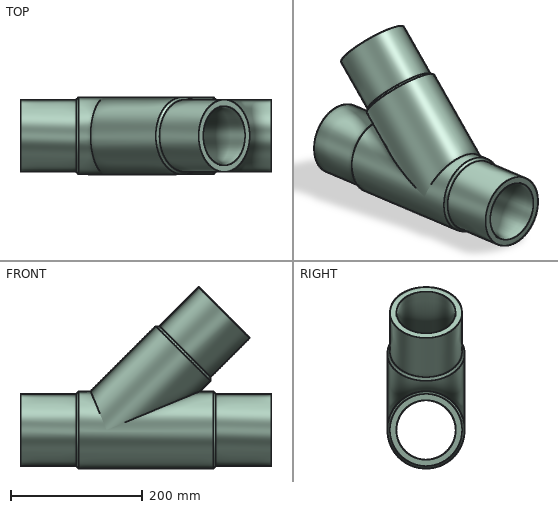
import cadquery as cq

run_length = 382.0
pipe_diameter = 110.0
body_diameter = 118.0
bore_diameter = 90.0
spigot_length = 84.5
junction_x = 131.0
branch_length = 253.3
branch_angle = 45.0

shoulder_chamfer = (body_diameter - pipe_diameter) / 2

run_start = cq.Plane(origin=(0, 0, 0), xDir=(0, 1, 0), normal=(1, 0, 0))
junction = cq.Plane(origin=(junction_x, 0, 0), xDir=(0, 1, 0), normal=(1, 0, 0))
branch_start = junction.rotated((-branch_angle, 0, 0))


def cylinder(plane, diameter, length, start=0.0):
    """Round bar along the plane normal, beginning at the given distance."""
    return cq.Workplane(plane).workplane(offset=start).circle(diameter / 2).extrude(length)


run_body_length = run_length - 2 * spigot_length
run_body = cylinder(run_start, body_diameter, run_body_length, spigot_length)
run_body = run_body.edges("%CIRCLE").chamfer(shoulder_chamfer)
run = cylinder(run_start, pipe_diameter, run_length).union(run_body)

branch_body = cylinder(branch_start, body_diameter, branch_length - spigot_length)
branch_body = branch_body.faces(cq.selectors.DirectionMinMaxSelector(branch_start.zDir, True))
branch_body = branch_body.edges().chamfer(shoulder_chamfer)
branch = cylinder(branch_start, pipe_diameter, branch_length).union(branch_body)

run_bore = cylinder(run_start, bore_diameter, run_length)
branch_bore = cylinder(branch_start, bore_diameter, branch_length)

result = run.union(branch).cut(run_bore).cut(branch_bore)